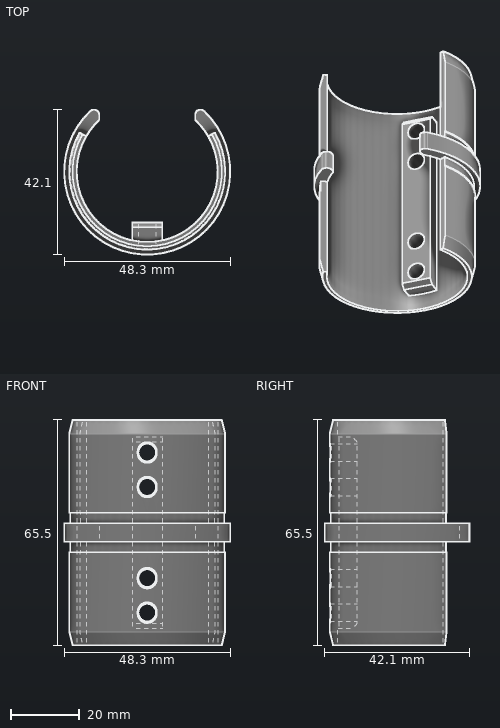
import cadquery as cq
import math

length = 65.5
inner_radius = 20.45
body_radius = 22.65
neck_radius = 22.4
tip_radius = 21.7
taper_length = 4.0
neck_half_height = 5.7
sleeve_end_angle = 30.0

collar_diameter = 48.3
collar_radius = collar_diameter / 2
collar_height = 5.45
collar_gap = 27.8
collar_corner_radius = 1.6

hole_radius = 2.55
hole_mouth_radius = 3.0
mouth_chamfer = hole_mouth_radius - hole_radius
hole_heights = (13.2, 23.25)
rail_width = 8.8
rail_length = 55.7
rail_face_y = -14.75
rail_chamfer = 1.45

half_length = length / 2
wall_middle_radius = (inner_radius + body_radius) / 2


def make_sleeve():
    """Revolve the stepped wall profile, then remove the open sector."""
    shoulder_z = half_length - taper_length
    wall = (
        cq.Workplane("XZ")
        .moveTo(inner_radius, -half_length)
        .lineTo(tip_radius, -half_length)
        .lineTo(body_radius, -shoulder_z)
        .lineTo(body_radius, -neck_half_height)
        .lineTo(neck_radius, -neck_half_height)
        .lineTo(neck_radius, neck_half_height)
        .lineTo(body_radius, neck_half_height)
        .lineTo(body_radius, shoulder_z)
        .lineTo(tip_radius, half_length)
        .lineTo(inner_radius, half_length)
        .close()
        .revolve(360, (0, 0), (0, 1))
    )
    wedge_y = 2 * body_radius
    wedge_x = wedge_y / math.tan(math.radians(sleeve_end_angle))
    opening = (
        cq.Workplane("XY", origin=(0, 0, -half_length))
        .polyline([(0, 0), (wedge_x, wedge_y), (-wedge_x, wedge_y)])
        .close()
        .extrude(length)
    )
    return wall.cut(opening)


def make_collar():
    """Open ring with its outer end corners rounded."""
    half_gap = collar_gap / 2
    inner_end_y = math.sqrt(inner_radius**2 - half_gap**2)
    outer_end_y = math.sqrt(collar_radius**2 - half_gap**2)
    profile = (
        cq.Workplane("XY", origin=(0, 0, -collar_height / 2))
        .moveTo(half_gap, inner_end_y)
        .lineTo(half_gap, outer_end_y)
        .threePointArc((0, -collar_radius), (-half_gap, outer_end_y))
        .lineTo(-half_gap, inner_end_y)
        .threePointArc((0, -inner_radius), (half_gap, inner_end_y))
        .close()
    )
    ring = profile.extrude(collar_height)
    corners = cq.selectors.BoxSelector(
        (-collar_radius, outer_end_y - 0.65, -collar_height),
        (collar_radius, outer_end_y + 0.65, collar_height),
    )
    return ring.edges("|Z").edges(corners).fillet(collar_corner_radius)


def make_rail():
    """Bar on the inside of the wall, chamfered at both ends of its inner face."""
    depth = wall_middle_radius + rail_face_y
    return (
        cq.Workplane("XY")
        .box(rail_width, depth, rail_length)
        .translate((0, rail_face_y - depth / 2, 0))
        .faces(">Y")
        .edges("|X")
        .chamfer(rail_chamfer)
    )


def make_hole(height):
    """Cutter along Y with a chamfered mouth at the outer wall."""
    return (
        cq.Workplane("XY")
        .moveTo(0, -collar_radius)
        .lineTo(hole_mouth_radius, -collar_radius)
        .lineTo(hole_mouth_radius, -body_radius)
        .lineTo(hole_radius, mouth_chamfer - body_radius)
        .lineTo(hole_radius, 0)
        .lineTo(0, 0)
        .close()
        .revolve(360, (0, 0), (0, 1))
        .translate((0, 0, height))
    )


result = make_sleeve().union(make_collar()).union(make_rail())
for hole_height in hole_heights:
    for side in (-1, 1):
        result = result.cut(make_hole(side * hole_height))